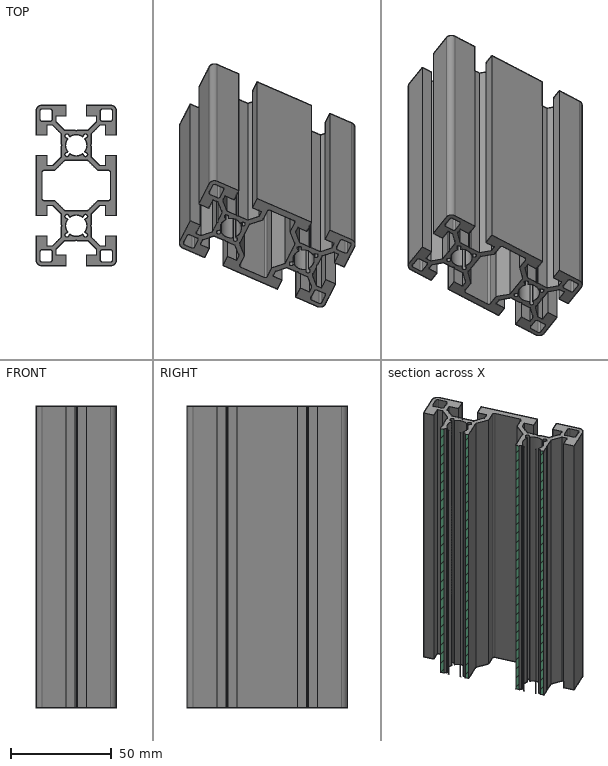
import cadquery as cq
import math

module = 40.0
length = 150.0
half_module = module / 2
outer_corner_radius = 3.0

slot_opening = 10.0
slot_inner_width = 20.0
lip_thickness = 5.5
core_width = 15.0
web_offset = 1.75

corner_cavity_size = 6.0
corner_cavity_center = 15.0
corner_cavity_radius = 1.0

chamber_half_width = 17.0
chamber_half_height = 7.5
chamber_corner_radius = 1.0

bore_diameter = 10.5
relief_radius = 1.0
relief_offset = 4.6
relief_neck_width = 1.4

marking_width = 1.2
marking_depth = 0.3

core_half = core_width / 2
floor_half = core_half - web_offset
core_centers = [(0, -half_module), (0, half_module)]
corner_signs = [(sx, sy) for sx in (-1, 1) for sy in (-1, 1)]


def make_blank():
    """Rectangular bar of two square modules with rounded outer edges."""
    bar = cq.Workplane("XY").rect(module, 2 * module).extrude(length)
    return bar.edges("|Z").fillet(outer_corner_radius)


def make_slot():
    """T-slot cutter opening toward +X, with the module axis at the origin."""
    opening_half = slot_opening / 2
    inner_half = slot_inner_width / 2
    lip_x = half_module - lip_thickness
    shoulder_x = inner_half + web_offset
    upper = [
        (half_module, opening_half),
        (lip_x, opening_half),
        (lip_x, inner_half),
        (shoulder_x, inner_half),
        (core_half, floor_half),
        (core_half, marking_width / 2),
    ]
    marking_bottom = [(core_half - marking_depth, 0)]
    lower = [(x, -y) for x, y in reversed(upper)]
    return cq.Workplane("XY").polyline(upper + marking_bottom + lower).close().extrude(length)


def make_chamber():
    """Central chamber with rounded outer corners and a tapered end at each core."""
    core_face_y = half_module - core_half
    shoulder_x = floor_half + core_face_y - chamber_half_height
    box = cq.Workplane("XY").rect(2 * chamber_half_width, 2 * chamber_half_height).extrude(length)
    box = box.edges("|Z").fillet(chamber_corner_radius)
    taper_right = [(floor_half, core_face_y), (shoulder_x, chamber_half_height)]
    taper_right += [(x, -y) for x, y in reversed(taper_right)]
    taper_left = [(-x, -y) for x, y in taper_right]
    taper = cq.Workplane("XY").polyline(taper_right + taper_left).close().extrude(length)
    return box.union(taper)


def make_corner_cavities():
    """Rounded square hollows in the four outer corners of the bar."""
    center_y = half_module + corner_cavity_center
    centers = [(sx * corner_cavity_center, sy * center_y) for sx, sy in corner_signs]
    outlines = cq.Workplane("XY").pushPoints(centers).rect(corner_cavity_size, corner_cavity_size)
    return outlines.extrude(length).edges("|Z").fillet(corner_cavity_radius)


def make_core_bore():
    """Round bore with four round relief grooves joined to it by diagonal necks."""
    relief_centers = [(sx * relief_offset, sy * relief_offset) for sx, sy in corner_signs]
    relief_spacing = 2 * math.hypot(relief_offset, relief_offset)
    bore = cq.Workplane("XY").circle(bore_diameter / 2).extrude(length)
    reliefs = cq.Workplane("XY").pushPoints(relief_centers).circle(relief_radius).extrude(length)
    neck = cq.Workplane("XY").rect(relief_spacing, relief_neck_width).extrude(length)
    bore = bore.union(reliefs)
    for angle in (45, 135):
        bore = bore.union(neck.rotate((0, 0, 0), (0, 0, 1), angle))
    return bore


result = make_blank().cut(make_chamber()).cut(make_corner_cavities())
slot = make_slot()
core_bore = make_core_bore()
for center_x, center_y in core_centers:
    end_angle = 90 if center_y > 0 else -90
    for angle in (0, 180, end_angle):
        turned_slot = slot.rotate((0, 0, 0), (0, 0, 1), angle)
        result = result.cut(turned_slot.translate((center_x, center_y, 0)))
    result = result.cut(core_bore.translate((center_x, center_y, 0)))